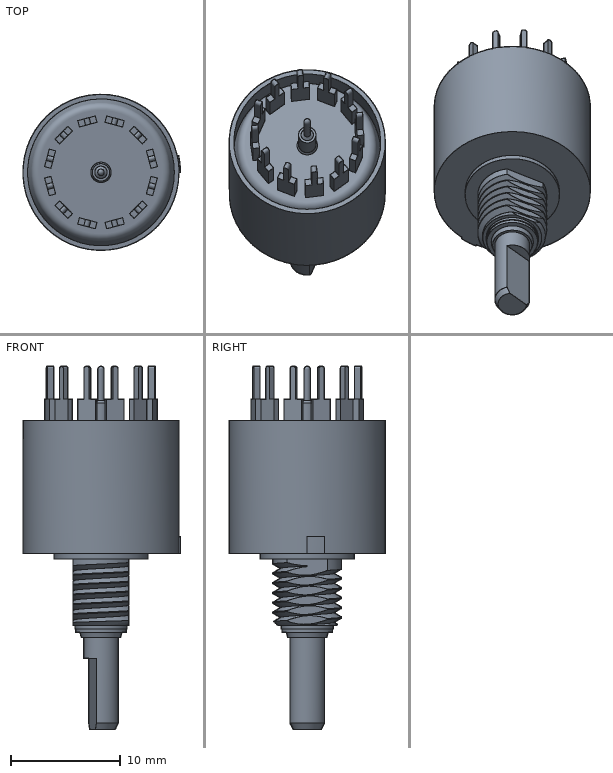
import cadquery as cq
import math


CASE_RADIUS = 7.15
CASE_HEIGHT = 12.23
RIM_RADIUS = 6.73

PLATE_DEPTH = 0.9
PLATE_TOP = CASE_HEIGHT - PLATE_DEPTH
PLATE_FLAT_RADIUS = 5.7
PLATE_ROUND = 0.7
PLATE_SIDE_DROP = 0.83

TAB_RADIUS = 7.3
TAB_SIZE = 1.55

FLANGE_RADIUS = 4.33
FLANGE_BOTTOM = -0.5
THREAD_RADIUS = 3.15
THREAD_BOTTOM = -6.6
THREAD_CHAMFER = 0.45
FLAT_OFFSET = 2.55
NECK_RADIUS = 2.4
NECK_BOTTOM = -6.9
LOWER_NECK_RADIUS = 2.33
LOWER_NECK_BOTTOM = -7.23
COLLAR_TOP_RADIUS = 1.93
COLLAR_BOTTOM_RADIUS = 1.8
COLLAR_BOTTOM = -7.7

PITCH = 0.9
ROOT_RADIUS = 2.45
ROOT_START = -1.13
GROOVE_TURNS = 7
GROOVE_HALF_ANGLE = math.radians(30)
GROOVE_OVERRUN = 0.05

PIN_COUNT = 12
PIN_FIRST_ANGLE = 15
PIN_CIRCLE_RADIUS = 4.83
PIN_TOP = 17.2
PIN_SHOULDER = 14.15
PIN_THICKNESS = 0.6
PIN_BASE_WIDTH = 1.65
PIN_TIP_WIDTH = 0.5
PIN_TIP_RISE = 0.2

FOOT_RADIUS = 0.93
FOOT_HEIGHT = 0.2
POST_RADIUS = 0.8
POST_TOP = 13.83
CONE_RADIUS = 0.55
CONE_HEIGHT = 0.23
TERMINAL_RADIUS = 0.3

SHAFT_RADIUS = 1.6
TOTAL_LENGTH = 33.32
SHAFT_BOTTOM = PIN_TOP - TOTAL_LENGTH
SHAFT_CHAMFER_RADIAL = 0.3
SHAFT_CHAMFER_AXIAL = 0.6
SHAFT_FLAT_TOP = -9.6
SHAFT_FLAT_OFFSET = SHAFT_RADIUS / 2
SHAFT_FLAT_ANGLE = 195


def cylinder(radius, bottom, top):
    return cq.Workplane("XY").workplane(offset=bottom).circle(radius).extrude(top - bottom)


def revolved(outline):
    """Turn a closed half-section in the XZ plane around the Z axis."""
    return outline.close().revolve(360, (0, 0, 0), (0, 1, 0))


def case():
    """The round case with its rim and the raised, round-edged base plate inside it."""
    plate_edge = RIM_RADIUS - PLATE_FLAT_RADIUS - PLATE_ROUND
    slope = math.atan2(PLATE_SIDE_DROP, plate_edge)
    round_center_z = PLATE_TOP - PLATE_ROUND

    def round_point(angle):
        """A point on the rounded plate edge; the angle is measured up from the horizontal."""
        return (
            PLATE_FLAT_RADIUS + PLATE_ROUND * math.cos(angle),
            round_center_z + PLATE_ROUND * math.sin(angle),
        )

    round_end = math.pi / 2 - slope
    round_middle = (math.pi / 2 + round_end) / 2
    side_bottom = round_center_z - PLATE_SIDE_DROP
    return revolved(
        cq.Workplane("XZ")
        .lineTo(CASE_RADIUS, 0)
        .lineTo(CASE_RADIUS, CASE_HEIGHT)
        .lineTo(RIM_RADIUS, CASE_HEIGHT)
        .lineTo(RIM_RADIUS, side_bottom)
        .lineTo(*round_point(round_end))
        .threePointArc(round_point(round_middle), (PLATE_FLAT_RADIUS, PLATE_TOP))
        .lineTo(0, PLATE_TOP)
    )


def locating_tab():
    """A shallow pad that starts on the +X axis and runs toward +Y."""
    tab_block = cq.Workplane("XY").box(TAB_RADIUS, TAB_SIZE, TAB_SIZE, centered=False)
    return cylinder(TAB_RADIUS, 0, TAB_SIZE).intersect(tab_block)


def thread_groove():
    """A helical V cutter that runs down past the lower end of the thread."""
    groove_depth = THREAD_RADIUS + GROOVE_OVERRUN - ROOT_RADIUS
    mouth_half_width = groove_depth * math.tan(GROOVE_HALF_ANGLE)
    mouth_radius = ROOT_RADIUS + groove_depth
    length = GROOVE_TURNS * PITCH
    path = cq.Wire.makeHelix(PITCH, length, ROOT_RADIUS)
    groove = (
        cq.Workplane("XZ")
        .moveTo(ROOT_RADIUS, 0)
        .lineTo(mouth_radius, mouth_half_width)
        .lineTo(mouth_radius, -mouth_half_width)
        .close()
        .sweep(cq.Workplane(path), isFrenet=True)
    )
    return groove.translate((0, 0, ROOT_START - length))


def bushing():
    """The flange, the threaded barrel with its two flats, and the stepped nose."""
    flange = cylinder(FLANGE_RADIUS, FLANGE_BOTTOM, 0)
    barrel = cylinder(THREAD_RADIUS, THREAD_BOTTOM, FLANGE_BOTTOM)
    barrel = barrel.faces("<Z").chamfer(THREAD_CHAMFER)
    barrel = barrel.cut(thread_groove())
    between_flats = cq.Workplane("XY").box(2 * FLAT_OFFSET, 2 * FLANGE_RADIUS, -2 * THREAD_BOTTOM)
    barrel = barrel.intersect(between_flats)
    nose = revolved(
        cq.Workplane("XZ")
        .moveTo(0, THREAD_BOTTOM)
        .lineTo(NECK_RADIUS, THREAD_BOTTOM)
        .lineTo(NECK_RADIUS, NECK_BOTTOM)
        .lineTo(LOWER_NECK_RADIUS, NECK_BOTTOM)
        .lineTo(LOWER_NECK_RADIUS, LOWER_NECK_BOTTOM)
        .lineTo(COLLAR_TOP_RADIUS, LOWER_NECK_BOTTOM)
        .lineTo(COLLAR_BOTTOM_RADIUS, COLLAR_BOTTOM)
        .lineTo(0, COLLAR_BOTTOM)
    )
    return flange.union(barrel).union(nose)


def flat_pin():
    """One pin at the +X side: a wide base with a narrow, arched tip."""
    base = (
        cq.Workplane("XY")
        .workplane(offset=PLATE_TOP)
        .rect(PIN_THICKNESS, PIN_BASE_WIDTH)
        .extrude(PIN_SHOULDER - PLATE_TOP)
    )
    half_width = PIN_TIP_WIDTH / 2
    arch_bottom = PIN_TOP - PIN_TIP_RISE
    tip = (
        cq.Workplane("YZ")
        .moveTo(-half_width, PIN_SHOULDER)
        .lineTo(half_width, PIN_SHOULDER)
        .lineTo(half_width, arch_bottom)
        .threePointArc((0, PIN_TOP), (-half_width, arch_bottom))
        .close()
        .extrude(PIN_THICKNESS / 2, both=True)
    )
    return base.union(tip).translate((PIN_CIRCLE_RADIUS, 0, 0))


def center_terminal():
    """A post with a conical root and a slim terminal that ends in a half ball."""
    dome_center_z = PIN_TOP - TERMINAL_RADIUS
    dome_offset = TERMINAL_RADIUS * math.sqrt(0.5)
    dome_middle = (dome_offset, dome_center_z + dome_offset)
    return revolved(
        cq.Workplane("XZ")
        .moveTo(0, PLATE_TOP)
        .lineTo(FOOT_RADIUS, PLATE_TOP)
        .lineTo(POST_RADIUS, PLATE_TOP + FOOT_HEIGHT)
        .lineTo(POST_RADIUS, POST_TOP)
        .lineTo(CONE_RADIUS, POST_TOP)
        .lineTo(TERMINAL_RADIUS, POST_TOP + CONE_HEIGHT)
        .lineTo(TERMINAL_RADIUS, dome_center_z)
        .threePointArc(dome_middle, (0, PIN_TOP))
    )


def switch_housing():
    """The case, bushing and all terminals as one body."""
    housing = case().union(locating_tab()).union(bushing()).union(center_terminal())
    for index in range(PIN_COUNT):
        angle = PIN_FIRST_ANGLE + index * 360 / PIN_COUNT
        housing = housing.union(flat_pin().rotate((0, 0, 0), (0, 0, 1), angle))
    return housing


def d_shaft():
    """The shaft, which ends against the collar of the bushing."""
    round_shaft = revolved(
        cq.Workplane("XZ")
        .moveTo(0, COLLAR_BOTTOM)
        .lineTo(SHAFT_RADIUS, COLLAR_BOTTOM)
        .lineTo(SHAFT_RADIUS, SHAFT_BOTTOM + SHAFT_CHAMFER_AXIAL)
        .lineTo(SHAFT_RADIUS - SHAFT_CHAMFER_RADIAL, SHAFT_BOTTOM)
        .lineTo(0, SHAFT_BOTTOM)
    )
    flat_length = SHAFT_FLAT_TOP - SHAFT_BOTTOM
    flat_cutter = (
        cq.Workplane("XY")
        .box(SHAFT_RADIUS, 2 * SHAFT_RADIUS, flat_length, centered=(False, True, False))
        .translate((SHAFT_FLAT_OFFSET, 0, SHAFT_BOTTOM))
        .rotate((0, 0, 0), (0, 0, 1), SHAFT_FLAT_ANGLE)
    )
    return round_shaft.cut(flat_cutter)


housing = switch_housing()
shaft = d_shaft()

result = cq.Compound.makeCompound([housing.val(), shaft.val()])